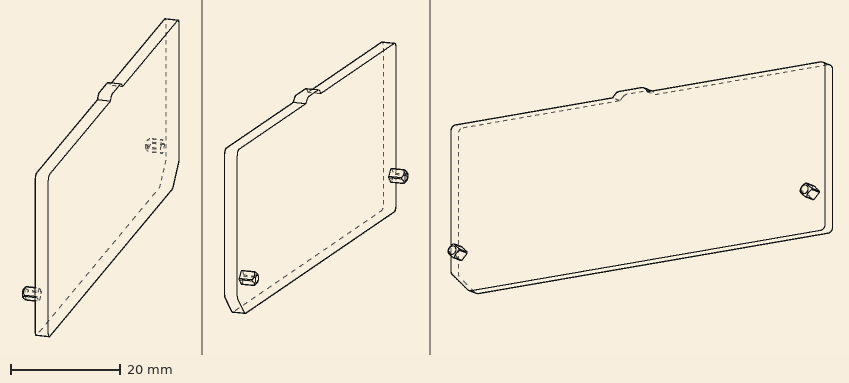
import cadquery as cq
import math

plate_thickness = 2.5
plate_length = 82.3
plate_height = 32.0
corner_radius = 1.0
corner_cut = 4.0

tab_height = 1.0
tab_base_min_y = -2.05
tab_base_max_y = 5.6
tab_min_y_flank_angle = 60
tab_max_y_flank_angle = 45
tab_edge_radius = 1.3

peg_diameter = 2.6
peg_across_flats = 2.0
peg_flats_angle = 45
peg_length = 3.0
peg_tip_chamfer = 0.5
peg_spacing = 77.45
peg_center_y = 0.125
peg_center_z = 7.35


def make_plate():
    half_length = plate_length / 2
    plate = (
        cq.Workplane("YZ")
        .moveTo(-half_length, 0)
        .lineTo(half_length - corner_cut, 0)
        .lineTo(half_length, corner_cut)
        .lineTo(half_length, plate_height)
        .lineTo(-half_length, plate_height)
        .close()
        .extrude(plate_thickness)
    )
    return plate.edges("|X").fillet(corner_radius)


def make_tab():
    min_y_run = tab_height / math.tan(math.radians(tab_min_y_flank_angle))
    max_y_run = tab_height / math.tan(math.radians(tab_max_y_flank_angle))
    tab_top = plate_height + tab_height
    tab = (
        cq.Workplane("YZ")
        .moveTo(tab_base_min_y, plate_height)
        .lineTo(tab_base_min_y + min_y_run, tab_top)
        .lineTo(tab_base_max_y - max_y_run, tab_top)
        .lineTo(tab_base_max_y, plate_height)
        .close()
        .extrude(plate_thickness)
    )
    return tab.edges("|X and >Z").fillet(tab_edge_radius)


def make_peg(center_y):
    square_bar = (
        cq.Workplane("YZ")
        .rect(peg_across_flats, peg_across_flats)
        .extrude(-peg_length)
        .rotate((0, 0, 0), (1, 0, 0), peg_flats_angle)
    )
    round_pin = (
        cq.Workplane("YZ")
        .circle(peg_diameter / 2)
        .extrude(-peg_length)
        .faces("<X")
        .chamfer(peg_tip_chamfer)
    )
    peg = round_pin.intersect(square_bar)
    return peg.translate((0, center_y, peg_center_z))


result = make_plate().union(make_tab())
for side in (-1, 1):
    result = result.union(make_peg(peg_center_y + side * peg_spacing / 2))